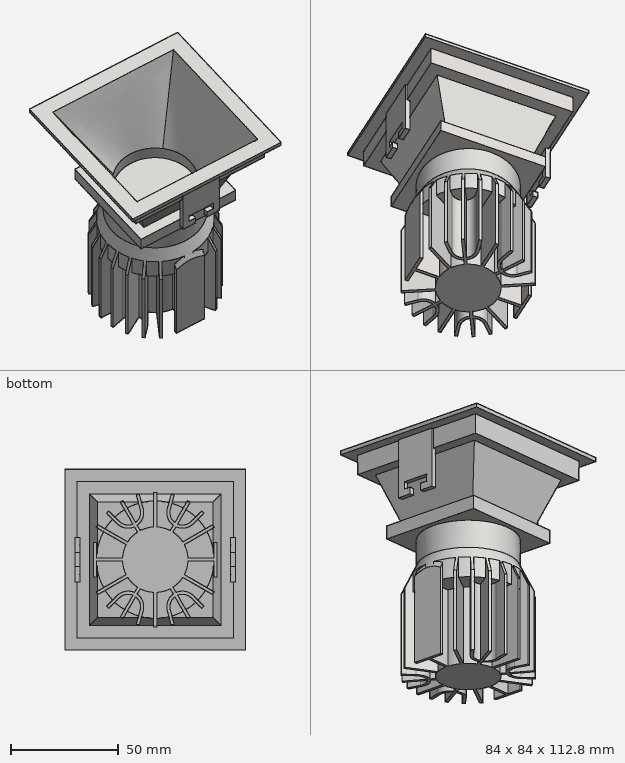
import cadquery as cq
import math

TOP_Z = 112.8
FLANGE_THICKNESS = 2.0
FRAME_BOTTOM_Z = 101.0
FUNNEL_BOTTOM_Z = 75.4
SPLIT_Z = 68.7
NECK_BOTTOM_Z = 54.9
COLLAR_TOP_Z = 48.7
COLLAR_BOTTOM_Z = 38.7
FLANGE_BOTTOM_Z = TOP_Z - FLANGE_THICKNESS

FLANGE_SIDE = 84.0
FRAME_SIDE = 72.9
FUNNEL_TOP_SIDE = 61.1
FUNNEL_BOTTOM_SIDE = 42.9
BASE_SIDE = 53.7
MOUTH_SIDE = 68.4
APERTURE_RADIUS = 19.9
CLIP_WIDTH = 20.6
CLIP_THICKNESS = 2.4
CLIP_OUTER_X = 37.3
CLIP_BOTTOM_Z = 81.3
T_SLOT_BAR_WIDTH = 13.6
T_SLOT_STEM_WIDTH = 6.4
T_SLOT_BAR_BOTTOM_Z = 84.8
T_SLOT_TOP_Z = 88.4

NECK_RADIUS = 24.3
COLLAR_RADIUS = 27.3
FIN_TIP_RADIUS = 31.2
CORE_RADIUS = 15.2
FIN_THICKNESS = 1.5
FIN_PITCH = 15
TRIM_ALLOWANCE = 1.1
PLATE_OUTER_X = 28.7
PLATE_THICKNESS = 1.5
PLATE_HALF_WIDTH = 8.0
CHANNEL_CENTRE_RADIUS = 25.3

CONE_DROP_PER_RADIUS = (NECK_BOTTOM_Z - COLLAR_TOP_Z) / (COLLAR_RADIUS - NECK_RADIUS)
FIN_SHOULDER_Z = NECK_BOTTOM_Z - (FIN_TIP_RADIUS - NECK_RADIUS) * CONE_DROP_PER_RADIUS

CHANNEL_ANGLES = (60, 120, 240, 300)
BRANCH_ANGLES = [a + side * FIN_PITCH for a in CHANNEL_ANGLES for side in (-1, 1)]
CORE_FIN_ANGLES = range(0, 360, 2 * FIN_PITCH)

BRANCH_START_RADIUS = CHANNEL_CENTRE_RADIUS * math.cos(math.radians(FIN_PITCH))
CHANNEL_MID_RADIUS = CHANNEL_CENTRE_RADIUS * math.sin(math.radians(FIN_PITCH))
CHANNEL_INNER_RADIUS = CHANNEL_MID_RADIUS - FIN_THICKNESS / 2
CHANNEL_OUTER_RADIUS = CHANNEL_MID_RADIUS + FIN_THICKNESS / 2


def block(x_min, x_max, y_half, z_min, z_max):
    """Box between the given limits, symmetric about Y = 0."""
    return cq.Workplane("XY").box(
        x_max - x_min, 2 * y_half, z_max - z_min, centered=(False, True, False)
    ).translate((x_min, 0, z_min))


def square_block(side, z_min, z_max):
    """Square box centred on the Z axis."""
    return block(-side / 2, side / 2, side / 2, z_min, z_max)


def reflector_cavity():
    """Square mouth blended into the round aperture; corners run to the 45 degree points."""
    half = MOUTH_SIDE / 2
    corner = APERTURE_RADIUS * math.sqrt(0.5)
    square_edges = []
    circle_edges = []
    for quarter in range(4):
        turn = 90 * quarter
        line = cq.Edge.makeLine(cq.Vector(half, -half, TOP_Z), cq.Vector(half, half, TOP_Z))
        arc = cq.Edge.makeThreePointArc(
            cq.Vector(corner, -corner, FUNNEL_BOTTOM_Z),
            cq.Vector(APERTURE_RADIUS, 0, FUNNEL_BOTTOM_Z),
            cq.Vector(corner, corner, FUNNEL_BOTTOM_Z),
        )
        square_edges.append(line.rotate(cq.Vector(0, 0, 0), cq.Vector(0, 0, 1), turn))
        circle_edges.append(arc.rotate(cq.Vector(0, 0, 0), cq.Vector(0, 0, 1), turn))
    mouth = cq.Wire.assembleEdges(square_edges)
    aperture = cq.Wire.assembleEdges(circle_edges)
    return cq.Workplane(obj=cq.Solid.makeLoft([mouth, aperture], True))


def clip():
    """Mounting tab on the -X side with a T-shaped slot open at its lower end."""
    inner_x = -CLIP_OUTER_X + CLIP_THICKNESS
    tab = block(-CLIP_OUTER_X, inner_x, CLIP_WIDTH / 2, CLIP_BOTTOM_Z, FLANGE_BOTTOM_Z)
    bar = block(-CLIP_OUTER_X, inner_x, T_SLOT_BAR_WIDTH / 2, T_SLOT_BAR_BOTTOM_Z, T_SLOT_TOP_Z)
    stem = block(-CLIP_OUTER_X, inner_x, T_SLOT_STEM_WIDTH / 2, CLIP_BOTTOM_Z, T_SLOT_TOP_Z)
    return tab.cut(bar).cut(stem)


def make_housing():
    flange = square_block(FLANGE_SIDE, FLANGE_BOTTOM_Z, TOP_Z)
    frame = square_block(FRAME_SIDE, FRAME_BOTTOM_Z, FLANGE_BOTTOM_Z)
    base = square_block(BASE_SIDE, SPLIT_Z, FUNNEL_BOTTOM_Z)
    funnel = (
        cq.Workplane("XY", origin=(0, 0, FUNNEL_BOTTOM_Z))
        .rect(FUNNEL_BOTTOM_SIDE, FUNNEL_BOTTOM_SIDE)
        .workplane(offset=FRAME_BOTTOM_Z - FUNNEL_BOTTOM_Z)
        .rect(FUNNEL_TOP_SIDE, FUNNEL_TOP_SIDE)
        .loft(ruled=True)
    )
    body = flange.union(frame).union(funnel).union(base)
    for turn in (0, 180):
        body = body.union(clip().rotate((0, 0, 0), (0, 0, 1), turn))
    aperture = (
        cq.Workplane("XY", origin=(0, 0, SPLIT_Z))
        .circle(APERTURE_RADIUS)
        .extrude(FUNNEL_BOTTOM_Z - SPLIT_Z)
    )
    return body.cut(reflector_cavity()).cut(aperture)


def fin(start_radius, angle):
    """Radial fin, taller and longer than finished; the envelope trims it."""
    blade = block(start_radius, FIN_TIP_RADIUS + TRIM_ALLOWANCE, FIN_THICKNESS / 2, 0, NECK_BOTTOM_Z)
    return blade.rotate((0, 0, 0), (0, 0, 1), angle)


def channel(angle):
    """Arc-shaped wall below the collar, running tangentially into its two branch fins."""
    tangent_angle = math.radians(90 + FIN_PITCH)
    end_x = math.cos(tangent_angle)
    end_y = math.sin(tangent_angle)
    outer = CHANNEL_OUTER_RADIUS
    inner = CHANNEL_INNER_RADIUS
    wall = (
        cq.Workplane("XY")
        .moveTo(outer * end_x, outer * end_y)
        .threePointArc((-outer, 0), (outer * end_x, -outer * end_y))
        .lineTo(inner * end_x, -inner * end_y)
        .threePointArc((-inner, 0), (inner * end_x, inner * end_y))
        .close()
        .extrude(COLLAR_BOTTOM_Z)
    )
    return wall.translate((CHANNEL_CENTRE_RADIUS, 0, 0)).rotate((0, 0, 0), (0, 0, 1), angle)


def side_plate(turn):
    """Flat plate across the end of the fin on the X axis."""
    plate = block(PLATE_OUTER_X - PLATE_THICKNESS, PLATE_OUTER_X, PLATE_HALF_WIDTH, 0, NECK_BOTTOM_Z)
    return plate.rotate((0, 0, 0), (0, 0, 1), turn)


def heat_sink_envelope():
    """Turned outer outline, cut flat at the two side plates."""
    outline = (
        cq.Workplane("XZ")
        .polyline([
            (0, 0),
            (FIN_TIP_RADIUS, 0),
            (FIN_TIP_RADIUS, FIN_SHOULDER_Z),
            (NECK_RADIUS, NECK_BOTTOM_Z),
            (NECK_RADIUS, SPLIT_Z),
            (0, SPLIT_Z),
        ])
        .close()
        .revolve(360, (0, 0, 0), (0, 1, 0))
    )
    flats = block(-PLATE_OUTER_X, PLATE_OUTER_X, FIN_TIP_RADIUS + TRIM_ALLOWANCE, 0, SPLIT_Z)
    return outline.intersect(flats)


def make_heat_sink():
    core = cq.Workplane("XY").circle(CORE_RADIUS).extrude(COLLAR_BOTTOM_Z)
    collar = (
        cq.Workplane("XY", origin=(0, 0, COLLAR_BOTTOM_Z))
        .circle(COLLAR_RADIUS)
        .extrude(SPLIT_Z - COLLAR_BOTTOM_Z)
    )
    body = core.union(collar)
    for angle in CORE_FIN_ANGLES:
        body = body.union(fin(0, angle))
    for angle in CHANNEL_ANGLES:
        body = body.union(channel(angle))
    for angle in BRANCH_ANGLES:
        body = body.union(fin(BRANCH_START_RADIUS, angle))
    for turn in (0, 180):
        body = body.union(side_plate(turn))
    return body.intersect(heat_sink_envelope())


housing = make_housing()
heat_sink = make_heat_sink()

result = cq.Compound.makeCompound([housing.val(), heat_sink.val()])